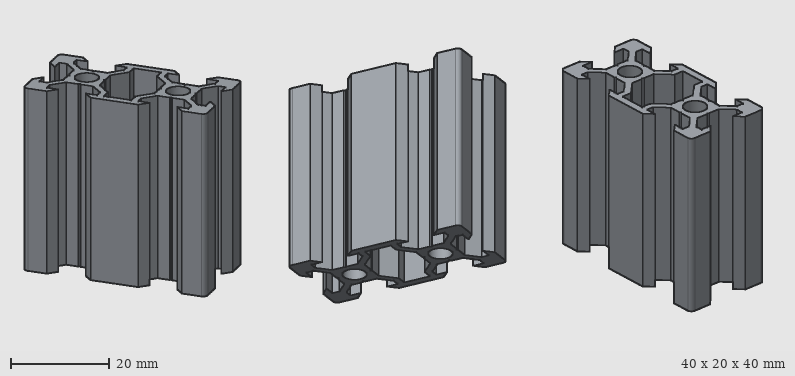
import cadquery as cq
import math

length = 40.0
cell = 20.0
half_cell = cell / 2
corner_radius = 1.0

bore_diameter = 5.0
pocket_width = 11.0
half_core = 4.0
lip = 1.8
half_mouth = 4.8
half_chamber = 3.0
notch_depth = 0.3
notch_half_width = notch_depth

half_pocket = pocket_width / 2
web = half_cell - half_chamber - half_pocket
web_offset = web / math.sqrt(2)
half_throat = half_mouth - lip
lip_inside = half_cell - lip

cell_centers = (-half_cell, half_cell)


def extrude_mirrored(half_profile):
    """Extrude an outline given by its right half, listed from one end of the Y axis to the other."""
    left_half = [(-x, y) for x, y in reversed(half_profile) if x > 0]
    return cq.Workplane("XY").polyline(half_profile + left_half).close().extrude(length)


def make_slot():
    """Slot opening toward +Y, with the cell centre at the origin."""
    return extrude_mirrored([
        (0, half_core - notch_depth),
        (notch_half_width, half_core),
        (half_core - web_offset, half_core),
        (half_pocket, half_pocket + web_offset),
        (half_pocket, lip_inside),
        (half_throat, lip_inside),
        (half_mouth, half_cell),
    ])


def make_chamber():
    """Central chamber between the two cores, centred on the origin."""
    core_side = half_cell - half_core
    wall_foot = half_cell - half_chamber - web_offset
    return extrude_mirrored([
        (0, -lip_inside),
        (half_chamber, -lip_inside),
        (half_chamber, -wall_foot),
        (core_side, web_offset - half_core),
        (core_side, -notch_half_width),
        (core_side + notch_depth, 0),
        (core_side, notch_half_width),
        (core_side, half_core - web_offset),
        (half_chamber, wall_foot),
        (half_chamber, lip_inside),
        (0, lip_inside),
    ])


result = (
    cq.Workplane("XY")
    .rect(2 * cell, cell)
    .extrude(length)
    .edges("|Z")
    .fillet(corner_radius)
)

slot = make_slot()
for center in cell_centers:
    outward_turn = -math.copysign(90, center)
    for turn in (0, 180, outward_turn):
        result = result.cut(slot.rotate((0, 0, 0), (0, 0, 1), turn).translate((center, 0, 0)))

result = result.cut(make_chamber())

bores = (
    cq.Workplane("XY")
    .pushPoints([(center, 0) for center in cell_centers])
    .circle(bore_diameter / 2)
    .extrude(length)
)
result = result.cut(bores)